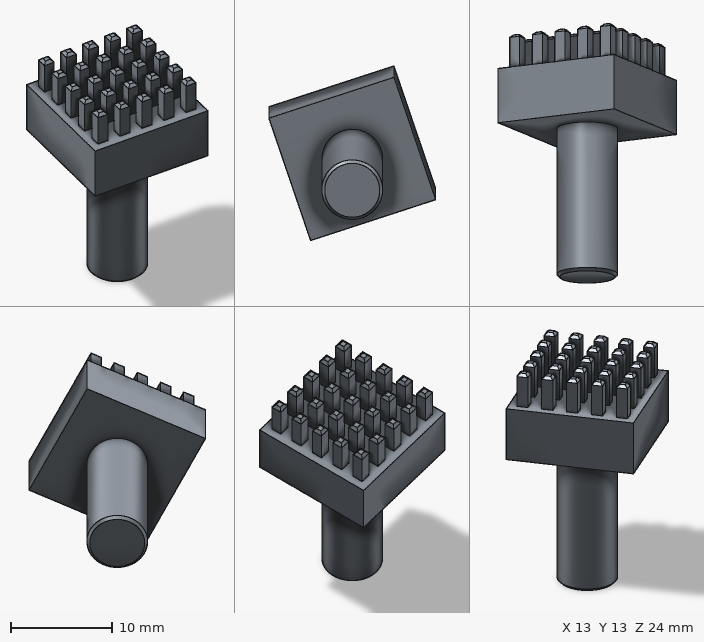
import cadquery as cq

total_height = 24.0
block_side = 13.0
block_height = 5.5
shank_length = 15.0
pin_height = total_height - shank_length - block_height

shank_diameter = 6.0
shank_chamfer = 0.3

pins_per_side = 5
pin_pitch = 2.55
pin_side = 1.13
pin_tip_side = 0.53
pin_tip_height = 0.3


def make_shank():
    """Cylinder standing on Z = 0 with a chamfered lower end."""
    return (
        cq.Workplane("XY")
        .circle(shank_diameter / 2)
        .extrude(shank_length)
        .faces("<Z")
        .chamfer(shank_chamfer)
    )


def make_block():
    """Square block on top of the shank."""
    return (
        cq.Workplane("XY")
        .workplane(offset=shank_length)
        .rect(block_side, block_side)
        .extrude(block_height)
    )


def add_pins(body):
    """Square grid of pins on the block, each ending in a truncated pyramid."""
    tip_inset = (pin_side - pin_tip_side) / 2
    pin = (
        cq.Workplane("XY")
        .rect(pin_side, pin_side)
        .extrude(pin_height)
        .faces(">Z")
        .chamfer(pin_tip_height, tip_inset)
        .translate((0, 0, shank_length + block_height))
    )
    first_offset = -pin_pitch * (pins_per_side - 1) / 2
    for column in range(pins_per_side):
        for row in range(pins_per_side):
            x = first_offset + column * pin_pitch
            y = first_offset + row * pin_pitch
            body = body.union(pin.translate((x, y, 0)))
    return body


result = add_pins(make_shank().union(make_block()))